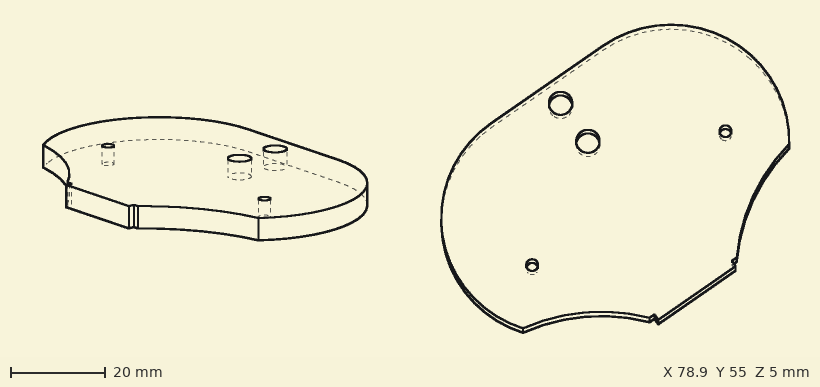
import cadquery as cq
import math

width = 78.9
depth = 55.0
thickness = 5.0

lobe_radius = 25.0
lobe_center_x = width / 2 - lobe_radius
lobe_corner_drop = 15.0

tab_width = 20.0
tab_height = 1.4
neck_width = 22.55
scallop_radius = 40.0

large_hole_diameter = 5.0
large_hole_setbacks = (5.0, 15.0)
small_hole_diameter = 2.5
small_hole_spacing = 50.0
small_hole_setback = 30.0
hole_depth = 4.0

back_y = lobe_radius
front_y = back_y - depth
neck_y = front_y + tab_height
corner_x = lobe_center_x + math.sqrt(lobe_radius**2 - lobe_corner_drop**2)
corner_y = -lobe_corner_drop


def make_plate():
    """Extrude the right half outline and mirror it across the YZ plane."""
    half = (
        cq.Workplane("XY")
        .moveTo(0, back_y)
        .lineTo(lobe_center_x, back_y)
        .threePointArc((width / 2, 0), (corner_x, corner_y))
        .radiusArc((neck_width / 2, neck_y), -scallop_radius)
        .lineTo(tab_width / 2, neck_y)
        .lineTo(tab_width / 2, front_y)
        .lineTo(0, front_y)
        .close()
        .extrude(thickness)
    )
    return half.union(half.mirror("YZ")).clean()


def drill(plate, points, diameter):
    """Cut blind holes down from the top face at the given XY points."""
    top_plane = cq.Workplane("XY").workplane(offset=thickness)
    cutters = top_plane.pushPoints(points).circle(diameter / 2).extrude(-hole_depth)
    return plate.cut(cutters)


large_hole_points = [(0, back_y - setback) for setback in large_hole_setbacks]
small_hole_points = [(side * small_hole_spacing / 2, back_y - small_hole_setback) for side in (-1, 1)]

result = make_plate()
result = drill(result, large_hole_points, large_hole_diameter)
result = drill(result, small_hole_points, small_hole_diameter)